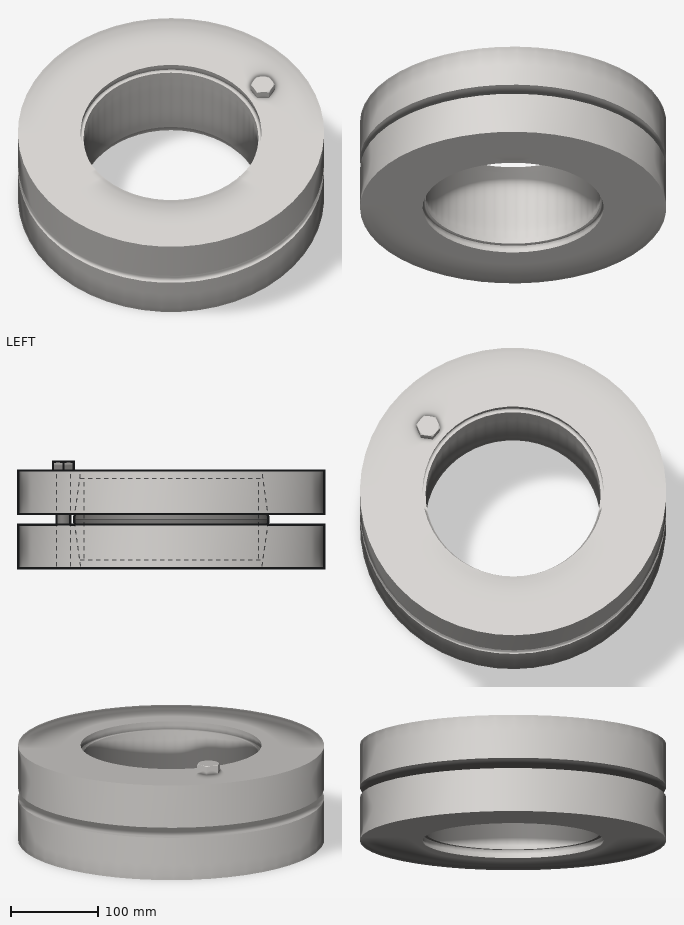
import cadquery as cq
import math

flange_diameter = 350.0
flange_thickness = 50.0
flange_gap = 12.0
half_gap = flange_gap / 2
outer_face_z = half_gap + flange_thickness

sleeve_bore_diameter = 200.0
sleeve_crest_diameter = 222.5
sleeve_end_recess = 9.5
sleeve_half_length = outer_face_z - sleeve_end_recess
flange_mouth_diameter = 207.0
taper_slope = (sleeve_crest_diameter - flange_mouth_diameter) / 2 / outer_face_z

bolt_diameter = 16.0
bolt_center_y = 123.2
hexagon_sides = 6
head_across_flats = 23.8
head_height = 10.0
hexagon_half_angle = 180 / hexagon_sides
head_across_corners = head_across_flats / math.cos(math.radians(hexagon_half_angle))
head_top_diameter = head_across_flats
head_chamfer_angle = 30.0


def taper_radius(height):
    """Radius of the shared taper at a height above the middle of the gap."""
    return sleeve_crest_diameter / 2 - taper_slope * height


def make_upper_flange():
    """Flange above the gap, with its tapered bore and bolt hole."""
    profile = [
        (taper_radius(half_gap), half_gap),
        (flange_diameter / 2, half_gap),
        (flange_diameter / 2, outer_face_z),
        (taper_radius(outer_face_z), outer_face_z),
    ]
    disc = cq.Workplane("XZ").polyline(profile).close().revolve(360, (0, 0), (0, 1))
    bolt_hole = (
        cq.Workplane("XY", origin=(0, bolt_center_y, half_gap))
        .circle(bolt_diameter / 2)
        .extrude(flange_thickness)
    )
    return disc.cut(bolt_hole).solids()


def make_sleeve():
    """Ring with a straight bore and an outside that tapers towards both ends."""
    bore_radius = sleeve_bore_diameter / 2
    end_radius = taper_radius(sleeve_half_length)
    profile = [
        (bore_radius, -sleeve_half_length),
        (end_radius, -sleeve_half_length),
        (sleeve_crest_diameter / 2, 0),
        (end_radius, sleeve_half_length),
        (bore_radius, sleeve_half_length),
    ]
    return cq.Workplane("XZ").polyline(profile).close().revolve(360, (0, 0), (0, 1))


def make_bolt():
    """Hexagon head with conically trimmed top corners, on a plain shank."""
    shank = (
        cq.Workplane("XY", origin=(0, bolt_center_y, -outer_face_z))
        .circle(bolt_diameter / 2)
        .extrude(2 * outer_face_z)
    )
    head = (
        cq.Workplane("XY", origin=(0, bolt_center_y, outer_face_z))
        .polygon(hexagon_sides, head_across_corners)
        .extrude(head_height)
    )
    cone_base_radius = head_top_diameter / 2 + head_height / math.tan(math.radians(head_chamfer_angle))
    trimming_cone = cq.Workplane(
        cq.Solid.makeCone(
            cone_base_radius,
            head_top_diameter / 2,
            head_height,
            pnt=cq.Vector(0, bolt_center_y, outer_face_z),
        )
    )
    return shank.union(head.intersect(trimming_cone)).solids()


upper_flange = make_upper_flange()
lower_flange = upper_flange.mirror("XY").solids()
sleeve = make_sleeve()
bolt = make_bolt()

result = cq.Compound.makeCompound(
    [upper_flange.val(), lower_flange.val(), sleeve.val(), bolt.val()]
)